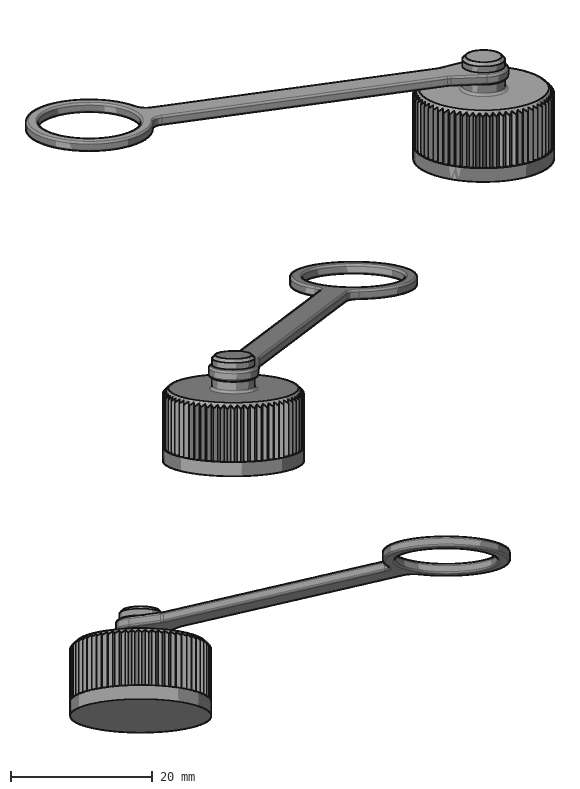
import cadquery as cq
import math

total_length = 79.0
total_height = 15.3

cap_diameter = 20.0
cap_height = 10.5
cap_chamfer = 0.8
band_height = 2.05

ridge_count = 64
ridge_depth = 0.5

post_diameter = 6.1
post_chamfer = 0.5
post_root_fillet = 0.4
neck_diameter = 3.8
neck_clearance = 0.15

strap_thickness = 1.5
strap_bottom = 12.25
strap_width = 4.0
strap_edge_fillet = 0.3
eye_diameter = 7.0
taper_length = 6.1
taper_bend_radius = 2.0
ring_outer_diameter = 18.0
ring_inner_diameter = 14.5
ring_neck_fillet = 2.0

cap_radius = cap_diameter / 2
ring_center_y = cap_radius - total_length + ring_outer_diameter / 2


def make_cap():
    """Chamfered solid cap whose upper part is a ring of sharp V ridges over a smooth band."""
    blank = cq.Workplane("XY").circle(cap_radius).extrude(cap_height)
    blank = blank.faces(">Z").edges().chamfer(cap_chamfer)
    band = cq.Workplane("XY").circle(cap_radius).extrude(band_height)

    half_pitch = math.pi / ridge_count
    outline = []
    for i in range(2 * ridge_count):
        radius = cap_radius - ridge_depth * (i % 2)
        angle = i * half_pitch
        outline.append((radius * math.cos(angle), radius * math.sin(angle)))
    knurl = cq.Workplane("XY").polyline(outline).close().extrude(cap_height)
    return blank.intersect(knurl).union(band)


def make_post():
    """Post as a revolved profile, flared at its root and necked at the eye and chamfered at its top."""
    radius = post_diameter / 2
    neck_radius = neck_diameter / 2
    neck_bottom = strap_bottom - neck_clearance
    neck_top = strap_bottom + strap_thickness + neck_clearance
    return (
        cq.Workplane("XZ")
        .moveTo(0, band_height)
        .lineTo(radius + post_root_fillet, band_height)
        .lineTo(radius + post_root_fillet, cap_height)
        .radiusArc((radius, cap_height + post_root_fillet), post_root_fillet)
        .lineTo(radius, neck_bottom)
        .lineTo(neck_radius, neck_bottom)
        .lineTo(neck_radius, neck_top)
        .lineTo(radius, neck_top)
        .lineTo(radius, total_height - post_chamfer)
        .lineTo(radius - post_chamfer, total_height)
        .lineTo(0, total_height)
        .close()
        .revolve(360, (0, 0, 0), (0, 1, 0))
    )


def make_strap():
    """Flat strap: an eye around the post, a tapered neck, a band and an end ring."""
    half_width = strap_width / 2
    eye_radius = eye_diameter / 2
    ring_radius = ring_outer_diameter / 2

    corner_distance = math.hypot(half_width, taper_length)
    tangent_angle = math.acos(eye_radius / corner_distance) - math.atan2(taper_length, half_width)
    tangent_x = eye_radius * math.cos(tangent_angle)
    tangent_y = eye_radius * math.sin(tangent_angle)

    bend_length = taper_bend_radius * math.tan(abs(tangent_angle) / 2)
    bend_start_x = half_width + bend_length * math.sin(abs(tangent_angle))
    bend_start_y = -taper_length + bend_length * math.cos(tangent_angle)
    bend_end_y = -taper_length - bend_length

    arc_center_x = half_width + ring_neck_fillet
    center_distance = ring_radius + ring_neck_fillet
    arc_rise = math.sqrt(center_distance**2 - arc_center_x**2)
    neck_top_y = ring_center_y + arc_rise
    neck_x = arc_center_x * ring_radius / center_distance
    neck_y = ring_center_y + arc_rise * ring_radius / center_distance

    strap = (
        cq.Workplane("XY", origin=(0, 0, strap_bottom))
        .moveTo(-tangent_x, tangent_y)
        .threePointArc((0, eye_radius), (tangent_x, tangent_y))
        .lineTo(bend_start_x, bend_start_y)
        .radiusArc((half_width, bend_end_y), -taper_bend_radius)
        .lineTo(half_width, neck_top_y)
        .radiusArc((neck_x, neck_y), -ring_neck_fillet)
        .threePointArc((0, ring_center_y - ring_radius), (-neck_x, neck_y))
        .radiusArc((-half_width, neck_top_y), -ring_neck_fillet)
        .lineTo(-half_width, bend_end_y)
        .radiusArc((-bend_start_x, bend_start_y), -taper_bend_radius)
        .close()
        .moveTo(0, ring_center_y)
        .circle(ring_inner_diameter / 2)
        .extrude(strap_thickness)
    )
    return strap.faces("<Z or >Z").edges().fillet(strap_edge_fillet)


result = make_cap().union(make_post()).union(make_strap())